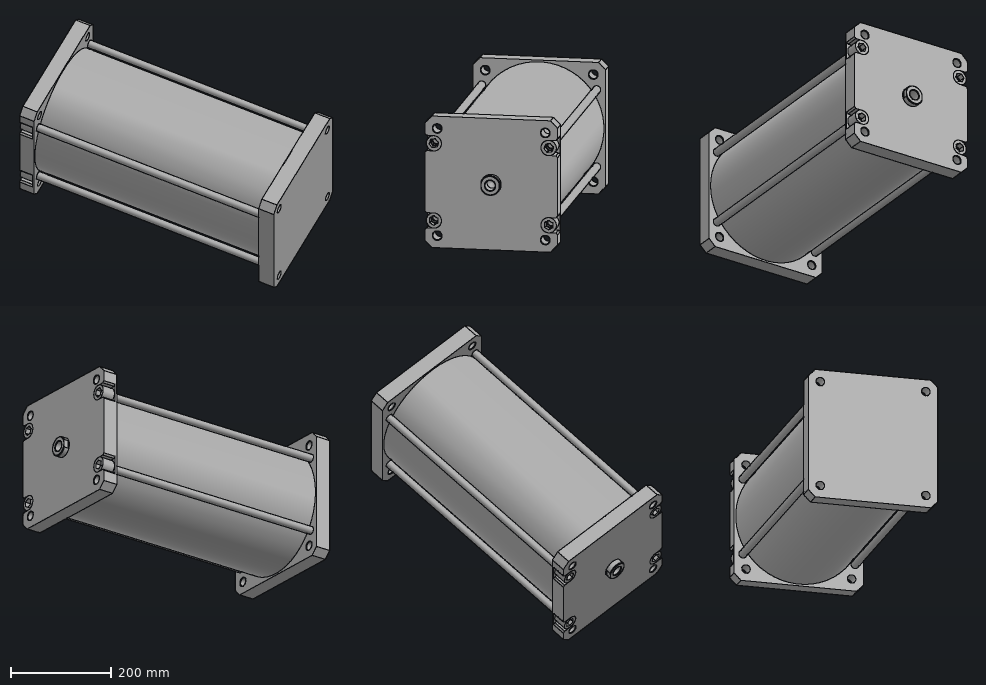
import cadquery as cq
import math

TOTAL_LENGTH = 578.0
SHAFT_PROTRUSION = 13.0
PLATE_THICKNESS = 32.5
FRONT_FACE_X = SHAFT_PROTRUSION
BARREL_START_X = FRONT_FACE_X + PLATE_THICKNESS
REAR_PLATE_THICKNESS = 33.5
BARREL_END_X = TOTAL_LENGTH - REAR_PLATE_THICKNESS

PLATE_SIDE = 270.0
PLATE_CORNER_CHAMFER = 14.5
MOUNT_HOLE_OFFSET = 110.0
MOUNT_HOLE_DIAMETER = 17.5
MOUNT_HOLE_CHAMFER = 1.0

BARREL_DIAMETER = 263.0

BOLT_Y = 117.0
BOLT_Z = 79.0
BOLT_DIAMETER = 16.0
HEAD_DIAMETER = 31.0
HEAD_LENGTH = 28.5
THREAD_ENGAGEMENT = HEAD_LENGTH
SOCKET_SIDES = 6
SOCKET_WIDTH = 17.0
SOCKET_BORE_DIAMETER = 14.0
SOCKET_DEPTH = HEAD_LENGTH / 2
UPPER_SOCKET_TURN = -10
LOWER_SOCKET_TURN = 30
SLOT_WIDTH = HEAD_DIAMETER
SLOT_EDGE_CHAMFER = 3.5

SHAFT_DIAMETER = 40.5
SHAFT_END_CHAMFER = 1.45
SHAFT_FLAT_WIDTH = 37.0
SHAFT_FLAT_LENGTH = 10.5
SHAFT_BORE_DIAMETER = 21.0
SHAFT_BORE_CHAMFER = 1.0
SHAFT_BORE_DEPTH = 23.0
DRILL_POINT_ANGLE = math.radians(118)

SIGNS = (-1, 1)


def section_at(x):
    """Workplane across the part at x: local x is +Y, local y is +Z, extrusion is +X."""
    return cq.Workplane("YZ", origin=(x, 0, 0))


def four_points(y, z):
    return [(side * y, level * z) for side in SIGNS for level in SIGNS]


BOLT_POINTS = four_points(BOLT_Y, BOLT_Z)


def make_plate(start_x, thickness):
    """Square plate with chamfered corners and four through mounting holes."""
    plate = section_at(start_x).rect(PLATE_SIDE, PLATE_SIDE).extrude(thickness)
    plate = plate.edges("|X").chamfer(PLATE_CORNER_CHAMFER)
    mount_points = four_points(MOUNT_HOLE_OFFSET, MOUNT_HOLE_OFFSET)
    holes = section_at(start_x).pushPoints(mount_points).circle(MOUNT_HOLE_DIAMETER / 2)
    plate = plate.cut(holes.extrude(thickness))
    return plate.faces("<X").edges("%CIRCLE").chamfer(MOUNT_HOLE_CHAMFER)


def make_head_slot(side, z):
    """Round-bottomed slot, open to the front and the side, with a flared mouth."""
    half_width = SLOT_WIDTH / 2
    outer_y = PLATE_SIDE / 2
    flare_y = outer_y - SLOT_EDGE_CHAMFER
    mouth_half = half_width + SLOT_EDGE_CHAMFER
    return (
        section_at(FRONT_FACE_X)
        .moveTo(side * outer_y, z - mouth_half)
        .lineTo(side * flare_y, z - half_width)
        .lineTo(side * BOLT_Y, z - half_width)
        .threePointArc((side * (BOLT_Y - half_width), z), (side * BOLT_Y, z + half_width))
        .lineTo(side * flare_y, z + half_width)
        .lineTo(side * outer_y, z + mouth_half)
        .close()
        .extrude(HEAD_LENGTH)
    )


def make_front_plate():
    plate = make_plate(FRONT_FACE_X, PLATE_THICKNESS)
    for side in SIGNS:
        for level in SIGNS:
            plate = plate.cut(make_head_slot(side, level * BOLT_Z))
    bolt_holes = section_at(FRONT_FACE_X).pushPoints(BOLT_POINTS).circle(BOLT_DIAMETER / 2)
    shaft_hole = section_at(FRONT_FACE_X).circle(SHAFT_DIAMETER / 2)
    plate = plate.cut(bolt_holes.extrude(PLATE_THICKNESS))
    return plate.cut(shaft_hole.extrude(PLATE_THICKNESS))


def make_rear_plate():
    """Rear plate with blind holes for the bolt ends."""
    plate = make_plate(BARREL_END_X, REAR_PLATE_THICKNESS)
    bolt_holes = section_at(BARREL_END_X).pushPoints(BOLT_POINTS).circle(BOLT_DIAMETER / 2)
    return plate.cut(bolt_holes.extrude(THREAD_ENGAGEMENT))


def make_barrel():
    return section_at(BARREL_START_X).circle(BARREL_DIAMETER / 2).extrude(BARREL_END_X - BARREL_START_X)


def make_bolt(y, z):
    """Long bolt with a flush cylindrical head, whose hexagon socket steps down to a round bore."""
    bolt_length = BARREL_END_X + THREAD_ENGAGEMENT - FRONT_FACE_X
    socket_corner_diameter = SOCKET_WIDTH / math.cos(math.pi / SOCKET_SIDES)
    start = section_at(FRONT_FACE_X).center(y, z)
    head = start.circle(HEAD_DIAMETER / 2).extrude(HEAD_LENGTH)
    shank = start.circle(BOLT_DIAMETER / 2).extrude(bolt_length)
    hexagon = start.polygon(SOCKET_SIDES, socket_corner_diameter).extrude(SOCKET_DEPTH)
    turn = UPPER_SOCKET_TURN if z > 0 else LOWER_SOCKET_TURN
    hexagon = hexagon.rotate((0, y, z), (1, y, z), turn)
    bore = start.circle(SOCKET_BORE_DIAMETER / 2).extrude(HEAD_LENGTH)
    return head.union(shank).cut(hexagon).cut(bore)


def make_shaft():
    """Shaft with a chamfered end, two flats facing Y and a drilled end bore."""
    radius = SHAFT_DIAMETER / 2
    shaft = section_at(0).circle(radius).extrude(BARREL_START_X)
    shaft = shaft.faces("<X").chamfer(SHAFT_END_CHAMFER)
    flat_band = section_at(0).rect(SHAFT_DIAMETER, SHAFT_DIAMETER)
    flat_band = flat_band.rect(SHAFT_FLAT_WIDTH, SHAFT_DIAMETER).extrude(SHAFT_FLAT_LENGTH)
    bore_radius = SHAFT_BORE_DIAMETER / 2
    point_length = bore_radius / math.tan(DRILL_POINT_ANGLE / 2)
    bore = (
        cq.Workplane("XY")
        .polyline([
            (0, 0),
            (0, bore_radius + SHAFT_BORE_CHAMFER),
            (SHAFT_BORE_CHAMFER, bore_radius),
            (SHAFT_BORE_DEPTH, bore_radius),
            (SHAFT_BORE_DEPTH + point_length, 0),
        ])
        .close()
        .revolve(360, (0, 0, 0), (1, 0, 0))
    )
    return shaft.cut(flat_band).cut(bore)


front_plate = make_front_plate()
rear_plate = make_rear_plate()
barrel = make_barrel()
shaft = make_shaft()
bolts = [make_bolt(y, z).val() for y, z in BOLT_POINTS]

result = cq.Compound.makeCompound(
    [front_plate.val(), rear_plate.val(), barrel.val(), shaft.val(), *bolts]
)